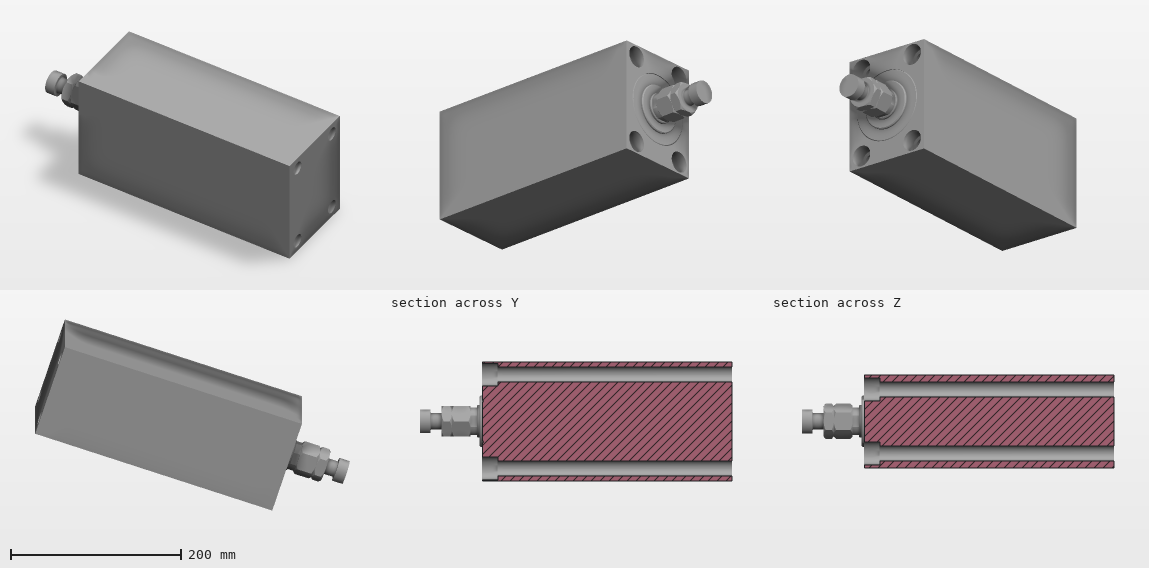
import cadquery as cq
import math


TOTAL_LENGTH = 366.0
WIDTH = 110.0
HEIGHT = 140.0
FRONT_REACH = 73.0
BLOCK_LENGTH = TOTAL_LENGTH - FRONT_REACH

HOLE_SPACING_Y = 75.0
HOLE_SPACING_Z = 110.0
HOLE_DIAMETER = 17.0
COUNTERBORE_DIAMETER = 26.0
COUNTERBORE_DEPTH = 18.3

COLLAR_DIAMETER = 60.0
COLLAR_HEIGHT = 3.0
COLLAR_CHAMFER = 1.0
GROOVE_DIAMETER = 89.3
GROOVE_WIDTH = 1.0
GROOVE_DEPTH = 1.0

ROD_DIAMETER = 37.7
ROD_INSERTION = 73.2
ROD_SHOULDER = 6.2
ROD_CHAMFER = 1.0
FLATS_DIAMETER = 35.0
FLATS_WIDTH = 32.2
FLATS_LENGTH = 7.5

HEX_WIDTH = 36.0
HEX_CORNER_RADIUS = HEX_WIDTH / math.sqrt(3)
HEX_FACE_RADIUS = HEX_WIDTH / 2
HEX_CHAMFER_LENGTH = 2.5
NUT_LENGTH = 22.0
PIN_HEX_LENGTH = 12.0

HEAD_DIAMETER = 28.0
NECK_DIAMETER = 19.0
NECK_LENGTH = 12.8
NECK_FILLET = 1.0
STUD_DIAMETER = 24.0
STUD_ENGAGEMENT = 22.0

ROD_END = -(ROD_SHOULDER + FLATS_LENGTH)
NUT_END = ROD_END - NUT_LENGTH
PIN_HEX_END = NUT_END - PIN_HEX_LENGTH
HEAD_BACK = PIN_HEX_END - NECK_LENGTH
STUD_TIP = ROD_END + STUD_ENGAGEMENT


def cylinder(diameter, start, end):
    """Round bar on the X axis from X = start to X = end."""
    return cq.Workplane("YZ", origin=(start, 0, 0)).circle(diameter / 2).extrude(end - start)


def chamfered_hexagon(start, length):
    """Hexagonal bar with flats facing +Z and -Z and corners turned down at both ends."""
    hexagon = (
        cq.Workplane("YZ", origin=(start, 0, 0))
        .polygon(6, 2 * HEX_CORNER_RADIUS)
        .extrude(length)
    )
    end = start + length
    turned_blank = (
        cq.Workplane("XZ")
        .moveTo(start, 0)
        .lineTo(start, HEX_FACE_RADIUS)
        .lineTo(start + HEX_CHAMFER_LENGTH, HEX_CORNER_RADIUS)
        .lineTo(end - HEX_CHAMFER_LENGTH, HEX_CORNER_RADIUS)
        .lineTo(end, HEX_FACE_RADIUS)
        .lineTo(end, 0)
        .close()
        .revolve(360, (0, 0, 0), (1, 0, 0))
    )
    return hexagon.intersect(turned_blank)


def ring_groove():
    """V-shaped ring cut into the front face."""
    outer_radius = GROOVE_DIAMETER / 2
    return (
        cq.Workplane("XZ")
        .moveTo(0, outer_radius)
        .lineTo(GROOVE_DEPTH, outer_radius)
        .lineTo(0, outer_radius - GROOVE_WIDTH)
        .close()
        .revolve(360, (0, 0, 0), (1, 0, 0))
    )


def make_housing():
    block = cq.Workplane("YZ").rect(WIDTH, HEIGHT).extrude(BLOCK_LENGTH)
    collar = cylinder(COLLAR_DIAMETER, -COLLAR_HEIGHT, 0).faces("<X").chamfer(COLLAR_CHAMFER)
    housing = block.union(collar).cut(ring_groove())
    housing = housing.cut(cylinder(ROD_DIAMETER, -COLLAR_HEIGHT, ROD_INSERTION))
    for side_y in (-1, 1):
        for side_z in (-1, 1):
            place = (0, side_y * HOLE_SPACING_Y / 2, side_z * HOLE_SPACING_Z / 2)
            housing = housing.cut(cylinder(HOLE_DIAMETER, 0, BLOCK_LENGTH).translate(place))
            housing = housing.cut(cylinder(COUNTERBORE_DIAMETER, 0, COUNTERBORE_DEPTH).translate(place))
    return housing


def make_rod():
    shaft = cylinder(ROD_DIAMETER, -ROD_SHOULDER, ROD_INSERTION).faces("<X").chamfer(ROD_CHAMFER)
    square = cq.Workplane("YZ", origin=(ROD_END, 0, 0)).rect(FLATS_WIDTH, FLATS_WIDTH).extrude(FLATS_LENGTH)
    wrench_end = square.intersect(cylinder(FLATS_DIAMETER, ROD_END, -ROD_SHOULDER))
    return shaft.union(wrench_end).cut(cylinder(STUD_DIAMETER, ROD_END, STUD_TIP))


def make_lock_nut():
    return chamfered_hexagon(NUT_END, NUT_LENGTH).cut(cylinder(STUD_DIAMETER, NUT_END, ROD_END))


def make_coupling_pin():
    head_radius = HEAD_DIAMETER / 2
    neck_radius = NECK_DIAMETER / 2
    bend = NECK_FILLET * (1 - math.sqrt(0.5))
    head_and_neck = (
        cq.Workplane("XZ")
        .moveTo(-FRONT_REACH, 0)
        .lineTo(-FRONT_REACH, head_radius)
        .lineTo(HEAD_BACK, head_radius)
        .lineTo(HEAD_BACK, neck_radius + NECK_FILLET)
        .threePointArc((HEAD_BACK + bend, neck_radius + bend), (HEAD_BACK + NECK_FILLET, neck_radius))
        .lineTo(PIN_HEX_END - NECK_FILLET, neck_radius)
        .threePointArc((PIN_HEX_END - bend, neck_radius + bend), (PIN_HEX_END, neck_radius + NECK_FILLET))
        .lineTo(PIN_HEX_END, 0)
        .close()
        .revolve(360, (0, 0, 0), (1, 0, 0))
    )
    pin_hexagon = chamfered_hexagon(PIN_HEX_END, PIN_HEX_LENGTH)
    stud = cylinder(STUD_DIAMETER, NUT_END, STUD_TIP)
    return head_and_neck.union(pin_hexagon).union(stud)


housing = make_housing()
rod = make_rod()
lock_nut = make_lock_nut()
coupling_pin = make_coupling_pin()

bodies = [body.solids().val() for body in (housing, rod, lock_nut, coupling_pin)]
result = cq.Compound.makeCompound(bodies)